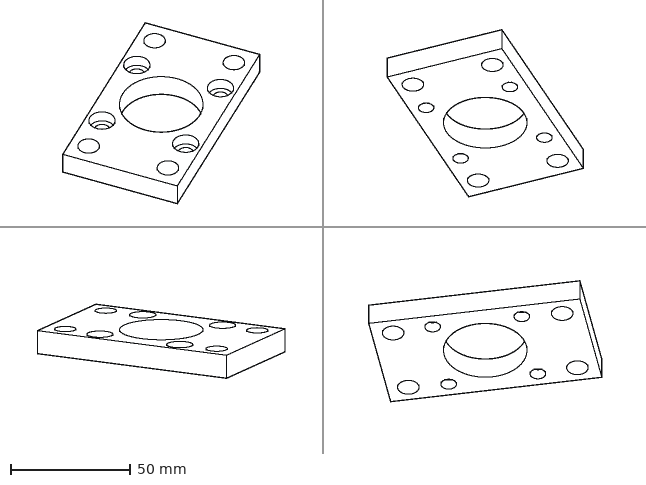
import cadquery as cq

plate_width = 52.0
plate_length = 90
plate_thickness = 10.0

bore_diameter = 35.0

corner_hole_diameter = 9
corner_spacing_x = 36
corner_spacing_y = 2 * corner_spacing_x

screw_hole_diameter = 6.5
counterbore_diameter = 11.0
counterbore_depth = 5.0
screw_spacing = 38.0


def hole_centers(body, spacing_x, spacing_y):
    """Four points on the top face, at the corners of a centred rectangle."""
    top = body.faces(">Z").workplane(origin=(0, 0, plate_thickness))
    return top.rarray(spacing_x, spacing_y, 2, 2)


plate = cq.Workplane("XY").box(
    plate_width, plate_length, plate_thickness, centered=(True, True, False)
)

bored_plate = plate.faces(">Z").workplane().hole(bore_diameter)

drilled_plate = hole_centers(bored_plate, corner_spacing_x, corner_spacing_y).hole(
    corner_hole_diameter
)

result = hole_centers(drilled_plate, screw_spacing, screw_spacing).cboreHole(
    screw_hole_diameter, counterbore_diameter, counterbore_depth
)